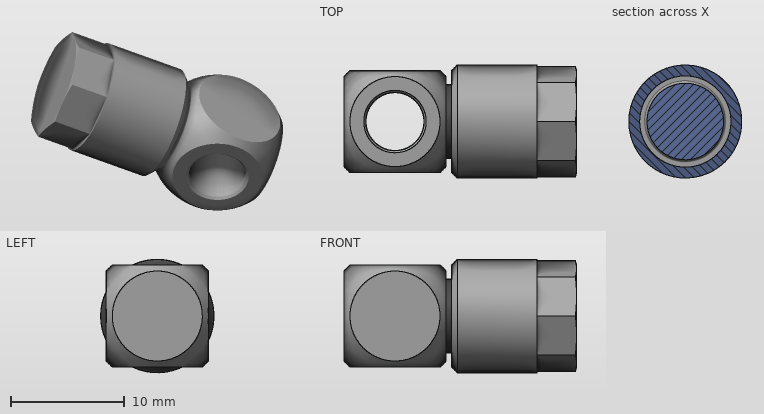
import cadquery as cq
import math

cube_side = 9.0
rounding_sphere_dia = 12.0
cross_hole_dia = 5.1
cross_hole_mouth_dia = 5.5
neck_dia = 6.5
flare_dia = 7.08
flare_length = 0.5

head_gap = 0.5
barrel_dia = 10.0
barrel_length = 7.5
barrel_chamfer = 0.5
bore_dia = 8.0
bore_depth = 3.0
flare_start_depth = 0.5
octagon_sides = 8
octagon_across_flats = 9.0
octagon_length = 3.5
octagon_end_dia = 8.95
octagon_end_chamfer_length = 0.105

head_end_x = cube_side / 2
sleeve_start_x = head_end_x + head_gap
flare_start_x = sleeve_start_x + flare_start_depth
bore_end_x = sleeve_start_x + bore_depth
barrel_end_x = sleeve_start_x + barrel_length
octagon_end_x = barrel_end_x + octagon_length
octagon_across_corners = octagon_across_flats / math.cos(math.pi / octagon_sides)


def rod_along_x(diameter, start_x, end_x):
    """Round rod on the X axis."""
    return cq.Workplane("YZ", origin=(start_x, 0, 0)).circle(diameter / 2).extrude(end_x - start_x)


def make_cross_hole():
    """Cutter for the through hole along Z, with a chamfered mouth at each end."""
    hole_radius = cross_hole_dia / 2
    mouth_radius = cross_hole_mouth_dia / 2
    face_z = cube_side / 2
    chamfer_z = face_z - (mouth_radius - hole_radius)
    half_profile = [
        (0, -face_z),
        (mouth_radius, -face_z),
        (hole_radius, -chamfer_z),
        (hole_radius, chamfer_z),
        (mouth_radius, face_z),
        (0, face_z),
    ]
    return cq.Workplane("XZ").polyline(half_profile).close().revolve(360, (0, 0), (0, 1))


def make_stem():
    """Neck that leaves the cube, flares out inside the sleeve and rests on the floor of its bore."""
    neck_root_x = (cross_hole_mouth_dia / 2 + head_end_x) / 2
    neck = rod_along_x(neck_dia, neck_root_x, flare_start_x)
    flared_end = (
        rod_along_x(flare_dia, flare_start_x, bore_end_x)
        .faces("<X")
        .chamfer(flare_length, (flare_dia - neck_dia) / 2)
    )
    return neck.union(flared_end)


def make_banjo_head():
    cube = cq.Workplane("XY").box(cube_side, cube_side, cube_side)
    rounded_cube = cube.intersect(cq.Workplane("XY").sphere(rounding_sphere_dia / 2))
    return rounded_cube.union(make_stem()).cut(make_cross_hole())


def make_octagon_end():
    """Octagonal prism with corners on the Y and Z axes, its end corners turned to a cone."""
    prism = (
        cq.Workplane("YZ", origin=(barrel_end_x, 0, 0))
        .polygon(octagon_sides, octagon_across_corners)
        .extrude(octagon_length)
    )
    turned_blank = (
        rod_along_x(octagon_across_corners, barrel_end_x, octagon_end_x)
        .faces(">X")
        .chamfer(octagon_end_chamfer_length, (octagon_across_corners - octagon_end_dia) / 2)
    )
    return prism.intersect(turned_blank)


def make_sleeve():
    barrel = rod_along_x(barrel_dia, sleeve_start_x, barrel_end_x).faces("<X").chamfer(barrel_chamfer)
    bore = rod_along_x(bore_dia, sleeve_start_x, bore_end_x)
    return barrel.union(make_octagon_end()).cut(bore)


banjo_head = make_banjo_head()
sleeve = make_sleeve()

result = cq.Compound.makeCompound([banjo_head.solids().val(), sleeve.solids().val()])